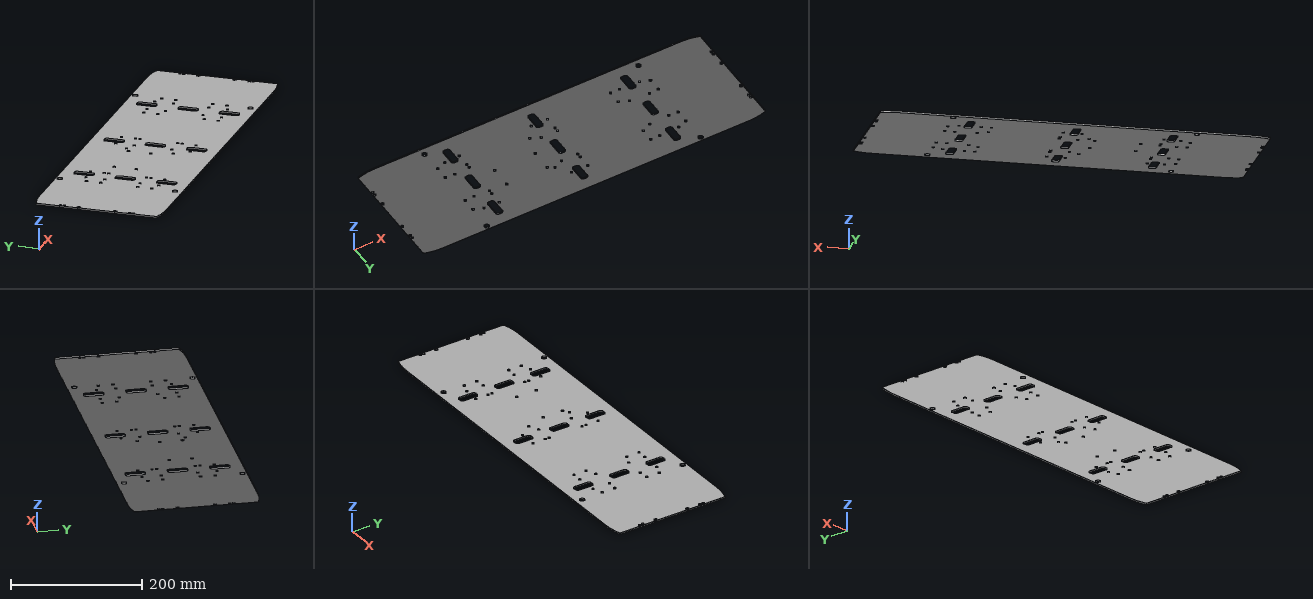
import math

import cadquery as cq

LENGTH = 608.0
WIDTH = 203.0
THICKNESS = 3.0
CORNER_LENGTH = 31.0
CORNER_DROP = 5.0

OPENING_WIDTH = 12.0
OPENING_LENGTH = 31.0
OPENING_CORNER_RADIUS = 4.0
OPENING_COLUMNS = (-158.0, -7.0, 158.0)
OPENING_PITCH_Y = 66.0

SMALL_HOLE = 3.5
MEDIUM_HOLE = 4.0
LARGE_HOLE = 8.0

LARGE_HOLE_X = 190.0
LARGE_HOLE_SPACING_Y = 184.0
LARGE_HOLE_SHIFT_Y = 2.5

END_COLUMN_X = 300.75
NARROW_BRACKET_X = 189.0
NARROW_BRACKET_ROWS = (29.5, 52.25)
WIDE_BRACKET_X = 173.0
WIDE_BRACKET_ROWS = (28.25, 58.25)

MOUNT_INNER_ROW = 30.0
MOUNT_MIDDLE_ROW = 37.25
MOUNT_OUTER_ROW = 59.5
MOUNT_INNER_COLUMNS = (-146.5, -18.5, 10.5, 138.5)
MOUNT_MIDDLE_COLUMNS = (-146.5, -34.5, 10.5, 122.5)
MOUNT_OUTER_COLUMNS = (-146.5, -18.5, 10.5, 122.5, 138.5)

BOARD_COLUMNS = (-116.5, -44.5)
BOARD_ROWS = (-4.5, 31.0)


def grid(columns, rows):
    """Points at every crossing of the columns and rows."""
    return [(x, y) for x in columns for y in rows]


def mirrored(values):
    """The values together with their negatives."""
    return [side * value for value in values for side in (1, -1)]


def make_plate():
    """Flat plate whose four corners are arcs tangent to the long edges."""
    half_length = LENGTH / 2
    half_width = WIDTH / 2
    tangent_x = half_length - CORNER_LENGTH
    end_y = half_width - CORNER_DROP
    corner_radius = (CORNER_LENGTH**2 + CORNER_DROP**2) / (2 * CORNER_DROP)
    half_sweep = math.asin(CORNER_LENGTH / corner_radius) / 2
    middle_x = tangent_x + corner_radius * math.sin(half_sweep)
    middle_y = half_width - corner_radius * (1 - math.cos(half_sweep))
    return (
        cq.Workplane("XY")
        .moveTo(-tangent_x, half_width)
        .lineTo(tangent_x, half_width)
        .threePointArc((middle_x, middle_y), (half_length, end_y))
        .lineTo(half_length, -end_y)
        .threePointArc((middle_x, -middle_y), (tangent_x, -half_width))
        .lineTo(-tangent_x, -half_width)
        .threePointArc((-middle_x, -middle_y), (-half_length, -end_y))
        .lineTo(-half_length, end_y)
        .threePointArc((-middle_x, middle_y), (-tangent_x, half_width))
        .close()
        .extrude(THICKNESS)
    )


def cut_openings(plate):
    """Cut the rounded rectangular openings through the plate."""
    rows = (-OPENING_PITCH_Y, 0, OPENING_PITCH_Y)
    cutters = (
        cq.Workplane("XY")
        .pushPoints(grid(OPENING_COLUMNS, rows))
        .rect(OPENING_WIDTH, OPENING_LENGTH)
        .extrude(THICKNESS)
        .edges("|Z")
        .fillet(OPENING_CORNER_RADIUS)
    )
    return plate.cut(cutters)


def cut_holes(plate, points, diameter):
    """Cut round holes through the plate."""
    cutters = cq.Workplane("XY").pushPoints(points).circle(diameter / 2).extrude(THICKNESS)
    return plate.cut(cutters)


def cut_large_holes(plate):
    """Cut one pair of large holes on each half of the plate."""
    rows = [LARGE_HOLE_SHIFT_Y + offset for offset in mirrored([LARGE_HOLE_SPACING_Y / 2])]
    return cut_holes(plate, grid(mirrored([LARGE_HOLE_X]), rows), LARGE_HOLE)


def cut_bracket_holes(plate):
    """Cut both bracket patterns; their end holes lie close together and partly overlap."""
    for inboard_x, rows, diameter in (
        (NARROW_BRACKET_X, NARROW_BRACKET_ROWS, MEDIUM_HOLE),
        (WIDE_BRACKET_X, WIDE_BRACKET_ROWS, SMALL_HOLE),
    ):
        columns = mirrored([inboard_x, END_COLUMN_X])
        plate = cut_holes(plate, grid(columns, mirrored(rows)), diameter)
    return plate


def cut_mounting_holes(plate):
    """Cut the small mounting holes, symmetric about the X axis."""
    for columns, row in (
        (MOUNT_INNER_COLUMNS, MOUNT_INNER_ROW),
        (MOUNT_MIDDLE_COLUMNS, MOUNT_MIDDLE_ROW),
        (MOUNT_OUTER_COLUMNS, MOUNT_OUTER_ROW),
    ):
        plate = cut_holes(plate, grid(columns, mirrored([row])), SMALL_HOLE)
    return plate


def cut_board_holes(plate):
    """Cut the four circuit board holes."""
    return cut_holes(plate, grid(BOARD_COLUMNS, BOARD_ROWS), MEDIUM_HOLE)


result = make_plate()
result = cut_openings(result)
result = cut_large_holes(result)
result = cut_bracket_holes(result)
result = cut_mounting_holes(result)
result = cut_board_holes(result)